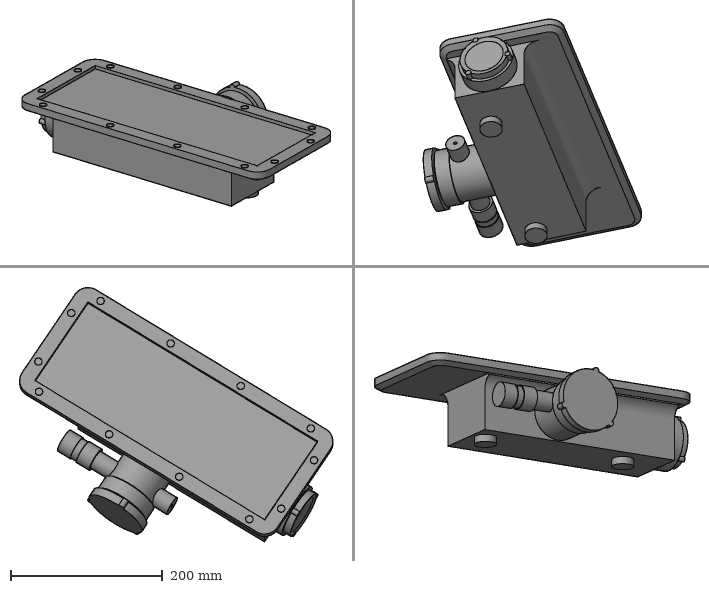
import cadquery as cq
import math


PLATE_LENGTH = 400.0
PLATE_WIDTH = 170.0
PLATE_THICKNESS = 15.0
PLATE_CORNER_RADIUS = 20.0
CHAMFER_HEIGHT = 5.0
CHAMFER_INSET = CHAMFER_HEIGHT * math.tan(math.radians(60))
RECESS_MARGIN = 20.0
RECESS_DEPTH = 5.0
HOLE_DIAMETER = 10.0
HOLE_DEPTH = 1.0
HOLE_EDGE_DISTANCE = 10.0
LONG_SIDE_HOLE_COUNT = 4
LONG_SIDE_HOLE_PITCH = 110.0
LONG_SIDE_HOLE_SHIFT = 2.0
SHORT_SIDE_HOLE_COUNT = 2
SHORT_SIDE_HOLE_PITCH = 80.5

INLET_COLLAR_LENGTH = 20.0
BOX_LENGTH = 292.0
BOX_LEFT_X = -PLATE_LENGTH / 2 + INLET_COLLAR_LENGTH
BOX_FRONT_Y = -30.0
BOX_BACK_Y = 65.0
BOX_HEIGHT = 75.0
BOX_TOP_Z = -PLATE_THICKNESS
BOX_BOTTOM_Z = BOX_TOP_Z - BOX_HEIGHT
BLEND_RADIUS = 20.0

FOOT_RADIUS = 14.8
FOOT_HEIGHT = 10.0
FOOT_Y = 33.2
FOOT_X_POSITIONS = (-119.5, 92.0)

INLET_Y = 17.0
INLET_Z = (BOX_TOP_Z + BOX_BOTTOM_Z) / 2
INLET_COLLAR_RADIUS = 37.5
INLET_RING_RADIUS = 33.0
INLET_RING_LENGTH = 10.0
INLET_MOUTH_RADIUS = 27.5
INLET_MOUTH_DEPTH = 1.2
INLET_FLOOR_RADIUS = 26.2
INLET_FLOOR_DEPTH = 1.5
INLET_LUG_CIRCLE_RADIUS = 33.2
INLET_LUG_RADIUS = 3.5
INLET_LUG_ANGLE = 70

OUTLET_X = -0.5
OUTLET_Z = -53.0
NECK_RADIUS = 35.5
NECK_LENGTH = 49.5
OUTLET_COLLAR_RADIUS = 38.0
OUTLET_COLLAR_LENGTH = 20.0
GROOVE_RADIUS = 32.0
GROOVE_WIDTH = 2.5
FLANGE_RADIUS = 42.0
FLANGE_THICKNESS = 11.7
FLANGE_LUG_CIRCLE_RADIUS = FLANGE_RADIUS
FLANGE_LUG_RADIUS = 4.0
FLANGE_LUG_ANGLE = 102
LUG_COUNT = 3

SPINDLE_Y = 100.5
SPINDLE_Z = -50.0
SPINDLE_RADIUS = 13.0
SPINDLE_LEFT_X = -58.0
SPINDLE_HOLE_RADIUS = 2.0
SPINDLE_HOLE_DEPTH = 4.0
KNOB_LEFT_X = 62.0
KNOB_RADIUS = 16.5
KNOB_BAND_LENGTH = 20.0
KNOB_GROOVE_RADIUS = 15.0
KNOB_GROOVE_WIDTH = 9.5


def cylinder(radius, length, start, direction):
    return cq.Workplane(cq.Solid.makeCylinder(radius, length, cq.Vector(*start), cq.Vector(*direction)))


def add_lugs(body, plane, circle_radius, lug_radius, first_angle, length):
    """Add equally spaced round lugs that stand on a circle about the plane's origin."""
    lugs = (
        cq.Workplane(plane)
        .polarArray(circle_radius, first_angle, 360, LUG_COUNT)
        .circle(lug_radius)
        .extrude(length)
    )
    return body.union(lugs)


def make_plate():
    rim_height = PLATE_THICKNESS - CHAMFER_HEIGHT
    rim = (
        cq.Workplane("XY")
        .rect(PLATE_LENGTH, PLATE_WIDTH)
        .extrude(-rim_height)
        .edges("|Z")
        .fillet(PLATE_CORNER_RADIUS)
    )
    plate = (
        rim.faces("<Z")
        .wires()
        .toPending()
        .workplane()
        .extrude(CHAMFER_HEIGHT, taper=math.degrees(math.atan2(CHAMFER_INSET, CHAMFER_HEIGHT)))
    )
    recess_length = PLATE_LENGTH - 2 * RECESS_MARGIN
    recess_width = PLATE_WIDTH - 2 * RECESS_MARGIN
    recess = cq.Workplane("XY").rect(recess_length, recess_width).extrude(-RECESS_DEPTH)
    return plate.cut(recess)


def make_box():
    """Box whose long walls flare into the plate's underside with concave blends."""
    plate_edge_y = PLATE_WIDTH / 2 - CHAMFER_INSET
    back_arc_y = BOX_BACK_Y + BLEND_RADIUS
    back_arc_z = BOX_TOP_Z - BLEND_RADIUS
    short_end_z = back_arc_z + math.sqrt(BLEND_RADIUS**2 - (back_arc_y - plate_edge_y) ** 2)
    short_end_angle = math.atan2(short_end_z - back_arc_z, plate_edge_y - back_arc_y)
    back_middle_angle = (math.pi + short_end_angle) / 2
    back_middle = (
        back_arc_y + BLEND_RADIUS * math.cos(back_middle_angle),
        back_arc_z + BLEND_RADIUS * math.sin(back_middle_angle),
    )
    front_arc_y = BOX_FRONT_Y - BLEND_RADIUS
    diagonal = BLEND_RADIUS * math.sqrt(0.5)
    front_middle = (front_arc_y + diagonal, back_arc_z + diagonal)
    return (
        cq.Workplane("YZ", origin=(BOX_LEFT_X, 0, 0))
        .moveTo(front_arc_y, BOX_TOP_Z)
        .threePointArc(front_middle, (BOX_FRONT_Y, back_arc_z))
        .lineTo(BOX_FRONT_Y, BOX_BOTTOM_Z)
        .lineTo(BOX_BACK_Y, BOX_BOTTOM_Z)
        .lineTo(BOX_BACK_Y, back_arc_z)
        .threePointArc(back_middle, (plate_edge_y, short_end_z))
        .lineTo(plate_edge_y, BOX_TOP_Z)
        .close()
        .extrude(BOX_LENGTH)
    )


def make_rim_recesses():
    """Shallow round recesses along the plate's rim."""
    long_side_y = PLATE_WIDTH - 2 * HOLE_EDGE_DISTANCE
    short_side_x = PLATE_LENGTH - 2 * HOLE_EDGE_DISTANCE
    long_side_recesses = (
        cq.Workplane("XY", origin=(LONG_SIDE_HOLE_SHIFT, 0, 0))
        .rarray(LONG_SIDE_HOLE_PITCH, long_side_y, LONG_SIDE_HOLE_COUNT, 2)
        .circle(HOLE_DIAMETER / 2)
        .extrude(-HOLE_DEPTH)
    )
    short_side_recesses = (
        cq.Workplane("XY")
        .rarray(short_side_x, SHORT_SIDE_HOLE_PITCH, 2, SHORT_SIDE_HOLE_COUNT)
        .circle(HOLE_DIAMETER / 2)
        .extrude(-HOLE_DEPTH)
    )
    return long_side_recesses.union(short_side_recesses)


def make_neck():
    return cylinder(NECK_RADIUS, NECK_LENGTH, (OUTLET_X, BOX_BACK_Y, OUTLET_Z), (0, 1, 0))


def make_housing():
    housing = make_plate().union(make_box()).cut(make_rim_recesses())
    for foot_x in FOOT_X_POSITIONS:
        foot = cylinder(FOOT_RADIUS, FOOT_HEIGHT, (foot_x, FOOT_Y, BOX_BOTTOM_Z), (0, 0, -1))
        housing = housing.union(foot)
    return housing.cut(make_neck())


def make_inlet_dish(mouth_x):
    """Shallow dish in the inlet's end face, with a rounded lip and a flat floor."""
    lip_middle_radius = (INLET_RING_RADIUS + INLET_MOUTH_RADIUS) / 2
    lip_middle_depth = INLET_MOUTH_DEPTH / 4
    return (
        cq.Workplane("XY", origin=(mouth_x, INLET_Y, INLET_Z))
        .lineTo(0, INLET_RING_RADIUS)
        .threePointArc((lip_middle_depth, lip_middle_radius), (INLET_MOUTH_DEPTH, INLET_MOUTH_RADIUS))
        .lineTo(INLET_FLOOR_DEPTH, INLET_FLOOR_RADIUS)
        .lineTo(INLET_FLOOR_DEPTH, 0)
        .close()
        .revolve(360, (0, 0), (1, 0))
    )


def make_inlet_coupling():
    ring_x = BOX_LEFT_X - INLET_COLLAR_LENGTH
    mouth_x = ring_x - INLET_RING_LENGTH
    collar = cylinder(INLET_COLLAR_RADIUS, INLET_COLLAR_LENGTH, (ring_x, INLET_Y, INLET_Z), (1, 0, 0))
    ring = cylinder(INLET_RING_RADIUS, INLET_RING_LENGTH, (mouth_x, INLET_Y, INLET_Z), (1, 0, 0))
    lug_plane = cq.Plane(origin=(mouth_x, INLET_Y, INLET_Z), xDir=(0, 1, 0), normal=(1, 0, 0))
    coupling = collar.union(ring).cut(make_inlet_dish(mouth_x))
    return add_lugs(
        coupling, lug_plane, INLET_LUG_CIRCLE_RADIUS, INLET_LUG_RADIUS, INLET_LUG_ANGLE, INLET_RING_LENGTH
    )


def make_spindle():
    """Round spindle with a knob of two bands separated by a shallow groove."""
    center = (SPINDLE_Y, SPINDLE_Z)
    groove_x = KNOB_LEFT_X + KNOB_BAND_LENGTH
    outer_band_x = groove_x + KNOB_GROOVE_WIDTH
    along_x = (1, 0, 0)
    spindle = cylinder(SPINDLE_RADIUS, KNOB_LEFT_X - SPINDLE_LEFT_X, (SPINDLE_LEFT_X, *center), along_x)
    groove = cylinder(KNOB_GROOVE_RADIUS, KNOB_GROOVE_WIDTH, (groove_x, *center), along_x)
    spindle = spindle.union(groove)
    for band_x in (KNOB_LEFT_X, outer_band_x):
        spindle = spindle.union(cylinder(KNOB_RADIUS, KNOB_BAND_LENGTH, (band_x, *center), along_x))
    end_hole = cylinder(SPINDLE_HOLE_RADIUS, SPINDLE_HOLE_DEPTH, (SPINDLE_LEFT_X, *center), along_x)
    return spindle.cut(end_hole)


def make_outlet_valve():
    collar_y = BOX_BACK_Y + NECK_LENGTH
    groove_y = collar_y + OUTLET_COLLAR_LENGTH
    flange_y = groove_y + GROOVE_WIDTH
    along_y = (0, 1, 0)
    collar = cylinder(OUTLET_COLLAR_RADIUS, OUTLET_COLLAR_LENGTH, (OUTLET_X, collar_y, OUTLET_Z), along_y)
    groove = cylinder(GROOVE_RADIUS, GROOVE_WIDTH, (OUTLET_X, groove_y, OUTLET_Z), along_y)
    flange = cylinder(FLANGE_RADIUS, FLANGE_THICKNESS, (OUTLET_X, flange_y, OUTLET_Z), along_y)
    valve = make_neck().union(make_spindle()).union(collar).union(groove).union(flange)
    lug_plane = cq.Plane(
        origin=(OUTLET_X, flange_y + FLANGE_THICKNESS, OUTLET_Z), xDir=(1, 0, 0), normal=(0, -1, 0)
    )
    return add_lugs(
        valve, lug_plane, FLANGE_LUG_CIRCLE_RADIUS, FLANGE_LUG_RADIUS, FLANGE_LUG_ANGLE, FLANGE_THICKNESS
    )


housing = make_housing()
inlet_coupling = make_inlet_coupling()
outlet_valve = make_outlet_valve()

result = cq.Compound.makeCompound(
    [housing.solids().val(), inlet_coupling.solids().val(), outlet_valve.solids().val()]
)